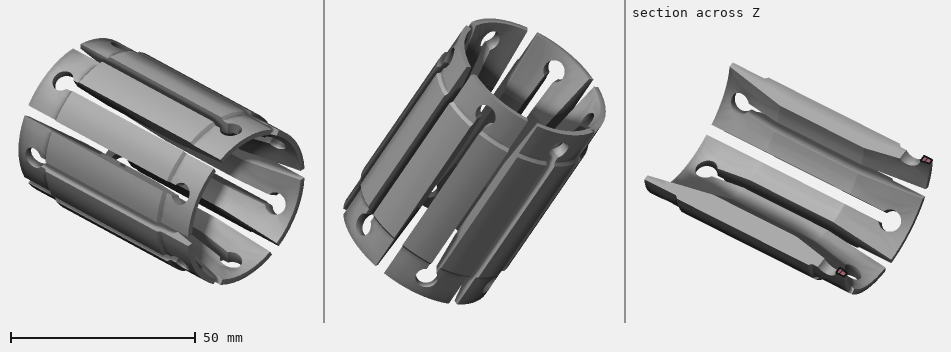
import cadquery as cq

length = 63.5
collar_radius = 23.6
end_radius = 22.8
collar_inset = 10.1
mouth_radius = 21.2
bore_radius = 17.35
cone_length = 18.4
slot_width = 3.0
slots_per_end = 6
hole_diameter = 6.05
hole_inset = 5.7

chamfer = collar_radius - end_radius
slot_pitch = 360 / slots_per_end
slot_length = length - hole_inset


def make_sleeve():
    """Revolve the wall section: raised collar outside, conical mouths inside."""
    section = (
        cq.Workplane("XY")
        .moveTo(0, mouth_radius)
        .lineTo(0, end_radius)
        .lineTo(collar_inset, end_radius)
        .lineTo(collar_inset + chamfer, collar_radius)
        .lineTo(length - collar_inset - chamfer, collar_radius)
        .lineTo(length - collar_inset, end_radius)
        .lineTo(length, end_radius)
        .lineTo(length, mouth_radius)
        .lineTo(length - cone_length, bore_radius)
        .lineTo(cone_length, bore_radius)
        .close()
    )
    return section.revolve(360, (0, 0, 0), (1, 0, 0))


def make_slot(hole_x, slot_start, angle):
    """Keyhole slot through one wall, turned about X from the -Y side."""
    hole = cq.Workplane("XZ").center(hole_x, 0).circle(hole_diameter / 2).extrude(length)
    slot = (
        cq.Workplane("XZ")
        .center(slot_start, -slot_width / 2)
        .rect(slot_length, slot_width, centered=False)
        .extrude(length)
    )
    return hole.union(slot).rotate((0, 0, 0), (1, 0, 0), angle)


result = make_sleeve()
for index in range(slots_per_end):
    angle = index * slot_pitch
    result = result.cut(make_slot(hole_inset, hole_inset, angle))
    result = result.cut(make_slot(length - hole_inset, 0, angle + slot_pitch / 2))